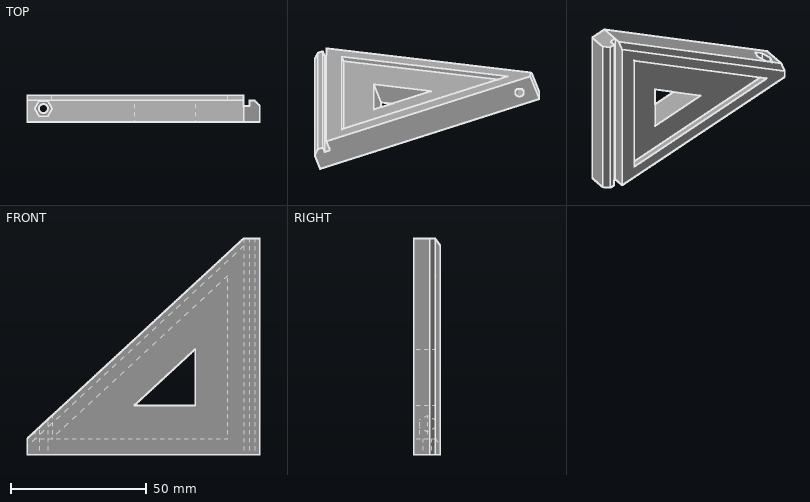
import cadquery as cq
import math

width = 86.0
height = 80.0
thickness = 10.0
web_thickness = 8.0
blunt_tip = 6.0
slope_end_x = width - blunt_tip
slope = (height - blunt_tip) / slope_end_x
edge_bevel = 2.0

groove_width = 2.15
groove_floor = 6.0
lip_top = web_thickness
lip_bevel = 2.0

window_left = 39.65
window_right = 62.1
window_bottom = 18.2

frame_width = 6.0

screw_x = 6.0
screw_y = 5.0
screw_diameter = 3.3
nut_across_flats = 5.6
nut_floor = 6.0


def make_plate():
    outline = [
        (0, 0),
        (width, 0),
        (width, height),
        (slope_end_x, height),
        (0, blunt_tip),
    ]
    return cq.Workplane("XZ").polyline(outline).close().extrude(-thickness)


def bevel_sloping_edge(plate):
    middle = (slope_end_x / 2, thickness, (blunt_tip + height) / 2)
    edge = cq.selectors.NearestToPointSelector(middle)
    return plate.edges(edge).chamfer(edge_bevel)


def make_lip_cutter():
    """Space behind the groove and lip, running the full height."""
    lip_left = slope_end_x + groove_width
    profile = [
        (slope_end_x, thickness),
        (slope_end_x, groove_floor),
        (lip_left, groove_floor),
        (lip_left, lip_top),
        (width - lip_bevel, lip_top),
        (width, lip_top - lip_bevel),
        (width, thickness),
    ]
    return cq.Workplane("XY").polyline(profile).close().extrude(height)


def make_triangle(left, right, bottom, near_y, far_y):
    """Right-angled prism with its long side parallel to the sloping edge."""
    top = bottom + slope * (right - left)
    corners = [(left, bottom), (right, bottom), (right, top)]
    sketch = cq.Workplane("XZ", origin=(0, near_y, 0)).polyline(corners).close()
    return sketch.extrude(near_y - far_y)


def make_window():
    return make_triangle(window_left, window_right, window_bottom, 0, thickness)


def make_back_recess():
    """Shallow recess around the window, leaving an even raised frame."""
    drop = frame_width * math.hypot(1, slope)
    left = (frame_width - blunt_tip + drop) / slope
    right = slope_end_x - frame_width
    return make_triangle(left, right, frame_width, web_thickness, thickness)


def make_screw_cutter():
    across_corners = nut_across_flats / math.cos(math.pi / 6)
    base = cq.Workplane("XY").center(screw_x, screw_y)
    hole = base.circle(screw_diameter / 2).extrude(height)
    nut = base.workplane(offset=nut_floor).polygon(6, across_corners).extrude(height)
    return hole.union(nut)


result = bevel_sloping_edge(make_plate())
result = result.cut(make_lip_cutter())
result = result.cut(make_window())
result = result.cut(make_back_recess())
result = result.cut(make_screw_cutter())